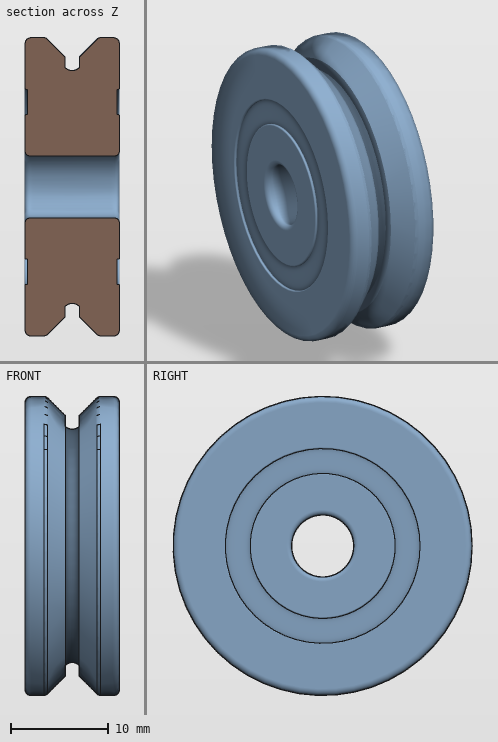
import cadquery as cq
import math

width = 9.73
outer_diameter = 30.73
bore_diameter = 6.35

rim_fillet = 0.635
bore_fillet = 0.5
groove_lip_fillet = 0.5

flank_angle = 45.0
rim_land_width = 1.97
slot_width = 1.42
slot_floor_radius = 12.0
slot_round_radius = 1.0

recess_inner_diameter = 14.9
recess_outer_diameter = 20.0
recess_depth = 0.254
recess_lip_fillet = 0.127

half_width = width / 2
outer_radius = outer_diameter / 2
bore_radius = bore_diameter / 2


def make_blank():
    """Plain disc with rounded rims and a sharp-edged bore."""
    disc = cq.Workplane("YZ").circle(outer_radius).extrude(half_width, both=True)
    disc = disc.edges().fillet(rim_fillet)
    bore = cq.Workplane("YZ").circle(bore_radius).extrude(half_width, both=True)
    return disc.cut(bore)


def make_groove():
    """Ring of material removed by the V groove, with rounded lips and its root slot."""
    angle = math.radians(flank_angle)
    lip_start_x = half_width - rim_land_width
    lip_center_r = outer_radius - groove_lip_fillet

    def lip_point(turn):
        return (
            lip_start_x - groove_lip_fillet * math.sin(turn),
            lip_center_r + groove_lip_fillet * math.cos(turn),
        )

    lip_start = lip_point(0)
    lip_middle = lip_point(angle / 2)
    lip_end = lip_point(angle)

    slot_x = slot_width / 2
    flank_bottom_r = lip_end[1] - (lip_end[0] - slot_x) * math.tan(angle)
    slot_arc_rise = slot_round_radius - math.sqrt(slot_round_radius**2 - slot_x**2)
    slot_arc_r = slot_floor_radius + slot_arc_rise

    def mirrored(point):
        return (-point[0], point[1])

    profile = (
        cq.Workplane("XZ")
        .moveTo(*lip_start)
        .threePointArc(lip_middle, lip_end)
        .lineTo(slot_x, flank_bottom_r)
        .lineTo(slot_x, slot_arc_r)
        .threePointArc((0, slot_floor_radius), (-slot_x, slot_arc_r))
        .lineTo(-slot_x, flank_bottom_r)
        .lineTo(*mirrored(lip_end))
        .threePointArc(mirrored(lip_middle), mirrored(lip_start))
        .close()
    )
    return profile.revolve(360, (0, 0, 0), (1, 0, 0))


def make_face_recess(start_x):
    """Shallow ring, one recess deep, starting at start_x."""
    return (
        cq.Workplane("YZ", origin=(start_x, 0, 0))
        .circle(recess_outer_diameter / 2)
        .circle(recess_inner_diameter / 2)
        .extrude(recess_depth)
    )


def round_side_edge(body, rank, radius):
    """Fillet one circular edge on both side faces; rank counts outward from the bore at 0."""
    side_edge = cq.selectors.RadiusNthSelector(rank)
    return body.faces("<X or >X").edges(side_edge).fillet(radius)


result = make_blank().cut(make_groove())
for recess_start in (-half_width, half_width - recess_depth):
    result = result.cut(make_face_recess(recess_start))

BORE_EDGE, RECESS_INNER_EDGE, RECESS_OUTER_EDGE = range(3)
result = round_side_edge(result, BORE_EDGE, bore_fillet)
result = round_side_edge(result, RECESS_INNER_EDGE, recess_lip_fillet)
result = round_side_edge(result, RECESS_OUTER_EDGE, recess_lip_fillet)